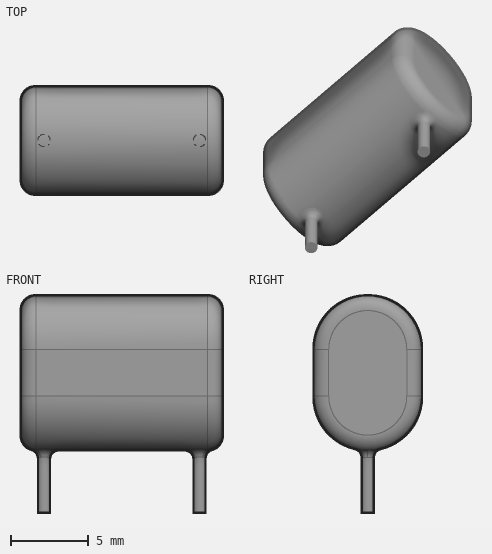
import cadquery as cq

total_height = 14.0
body_length = 13.0
body_depth = 7.0
body_height = 10.0
end_rim_radius = 1.0

lead_diameter = 0.8
lead_spacing = 10.0
lead_flare_radius = 0.5
lead_length = total_height - body_height
lead_positions = [(-lead_spacing / 2, 0), (lead_spacing / 2, 0)]


def make_body():
    """Block of rounded-ended section along X, resting on Z = 0, with rounded end rims."""
    return (
        cq.Workplane("YZ")
        .center(0, body_height / 2)
        .slot2D(body_height, body_depth, 90)
        .extrude(body_length / 2, both=True)
        .faces("<X or >X")
        .edges()
        .fillet(end_rim_radius)
    )


def make_leads():
    """Two round wires running from the middle of the body down to the lead tips."""
    return (
        cq.Workplane("XY")
        .workplane(offset=-lead_length)
        .pushPoints(lead_positions)
        .circle(lead_diameter / 2)
        .extrude(lead_length + body_height / 2)
    )


def flare_lead_roots(part):
    """Fillet the edges where the leads leave the underside of the body."""
    reach = lead_diameter
    root_edges = []
    for x, y in lead_positions:
        root_box = cq.selectors.BoxSelector(
            (x - reach, y - reach, -reach),
            (x + reach, y + reach, reach),
            boundingbox=True,
        )
        root_edges += part.edges(root_box).vals()
    return part.newObject(root_edges).fillet(lead_flare_radius)


capacitor = make_body().union(make_leads())
result = flare_lead_roots(capacitor)